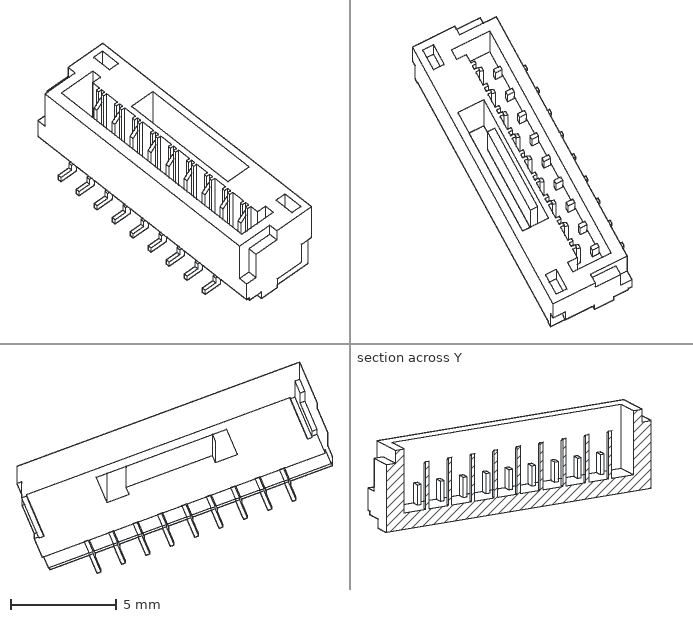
import cadquery as cq

LENGTH = 14.5
DEPTH = 4.25
HEIGHT = 4.2
STANDOFF = 0.17
HALF_LENGTH = LENGTH / 2

LIP_HEIGHT = 0.81
LIP_SETBACK = 0.19
TERMINAL_TOP = 0.64
TERMINAL_SETBACK = 0.97

FRONT_WALL = 0.61
CAVITY_LENGTH = 12.53
CAVITY_BACK = 2.15
CAVITY_FLOOR = 1.02
KEY_WIDTH = 0.54
KEY_BACK = 2.67

WINDOW_LENGTH = 6.68
WINDOW_FRONT = 2.45
WINDOW_BACK = 3.84
LATCH_LENGTH = 4.42
LATCH_DEPTH = 0.39
LATCH_TOP = 2.9

POCKET_LENGTH = 1.1
POCKET_WIDTH = 0.58
POCKET_DEPTH = 1.45
POCKET_MARGIN = 0.36

RELIEF_INSET = 0.5
RELIEF_LENGTH = 1.97
RELIEF_HEIGHT = 2.28
RELIEF_TOP_BAND = 0.64
RELIEF_FRONT_BAND = FRONT_WALL

TAB_INSET = 0.25
TAB_THICKNESS = 0.25
TAB_LENGTH = 2.23
TAB_HEIGHT = 2.03
TAB_BACK_BAND = 0.67
TAB_BOTTOM_BAND = 0.78

PIN_COUNT = 9
PIN_ROW = 10.0
PIN_PITCH = PIN_ROW / (PIN_COUNT - 1)
PIN_WIDTH = 0.2
PIN_X = [i * PIN_PITCH - PIN_ROW / 2 for i in range(PIN_COUNT)]

POST_WIDTH = 0.51
POST_DEPTH = 0.2

BLADE_FRONT = 1.65
BLADE_TIP_FRONT = 2.06
BLADE_TIP = 3.65
BLADE_SHOULDER = 3.28

TINE_FRONT = 0.65
TINE_CREST = 0.84
TINE_BACK = 1.02
TINE_TOP = 2.03
TINE_DROP = 0.01

ARM_BOTTOM = 0.26
LEG_BACK = 0.32
FOOT_HEIGHT = 0.3
FOOT_REACH = 0.7


def block(x_range, y_range, z_range):
    """Axis-aligned box between the given limits."""
    size = [high - low for low, high in (x_range, y_range, z_range)]
    return cq.Workplane("XY").box(*size, centered=False).translate((x_range[0], y_range[0], z_range[0]))


def centred(length, center=0.0):
    """Range of the given length about a centre."""
    return (center - length / 2, center + length / 2)


def side_profile(points, x_range):
    """Extrude a (Y, Z) outline along X."""
    width = x_range[1] - x_range[0]
    return cq.Workplane("YZ").polyline(points).close().extrude(width).translate((x_range[0], 0, 0))


def both_ends(shape):
    """The shape together with its mirror image on the other end."""
    return shape.union(shape.mirror("YZ"))


def housing():
    outline = [
        (0, HEIGHT), (0, LIP_HEIGHT),
        (LIP_SETBACK, LIP_HEIGHT), (LIP_SETBACK, TERMINAL_TOP),
        (TERMINAL_SETBACK, TERMINAL_TOP), (TERMINAL_SETBACK, STANDOFF),
        (DEPTH, STANDOFF), (DEPTH, HEIGHT),
    ]
    return side_profile(outline, centred(LENGTH))


def cavity():
    z_range = (CAVITY_FLOOR, HEIGHT)
    main = block(centred(CAVITY_LENGTH), (FRONT_WALL, CAVITY_BACK), z_range)
    key_start = -CAVITY_LENGTH / 2
    key = block((key_start, key_start + KEY_WIDTH), (FRONT_WALL, KEY_BACK), z_range)
    return main.union(both_ends(key))


def window():
    return block(centred(WINDOW_LENGTH), (WINDOW_FRONT, WINDOW_BACK), (0, HEIGHT))


def latch():
    y_range = (WINDOW_FRONT, WINDOW_FRONT + LATCH_DEPTH)
    return block(centred(LATCH_LENGTH), y_range, (STANDOFF, LATCH_TOP))


def pockets():
    start = -HALF_LENGTH + POCKET_MARGIN
    back = DEPTH - POCKET_MARGIN
    z_range = (HEIGHT - POCKET_DEPTH, HEIGHT)
    pocket = block((start, start + POCKET_LENGTH), (back - POCKET_WIDTH, back), z_range)
    return both_ends(pocket)


def end_reliefs():
    outline = [
        (0, HEIGHT), (RELIEF_LENGTH, HEIGHT),
        (RELIEF_LENGTH, HEIGHT - RELIEF_TOP_BAND), (RELIEF_FRONT_BAND, HEIGHT - RELIEF_TOP_BAND),
        (RELIEF_FRONT_BAND, HEIGHT - RELIEF_HEIGHT), (0, HEIGHT - RELIEF_HEIGHT),
    ]
    return both_ends(side_profile(outline, (-HALF_LENGTH, -HALF_LENGTH + RELIEF_INSET)))


def tab_shapes(x_start, thickness):
    """L-shaped plates at both ends, starting at x_start on the -X end."""
    outline = [
        (DEPTH, 0), (DEPTH, TAB_HEIGHT),
        (DEPTH - TAB_BACK_BAND, TAB_HEIGHT), (DEPTH - TAB_BACK_BAND, TAB_BOTTOM_BAND),
        (DEPTH - TAB_LENGTH, TAB_BOTTOM_BAND), (DEPTH - TAB_LENGTH, 0),
    ]
    return both_ends(side_profile(outline, (x_start, x_start + thickness)))


def guide_post(x):
    """Post on the back cavity wall, slotted for the contact blade."""
    y_range = (CAVITY_BACK - POST_DEPTH, CAVITY_BACK)
    z_range = (CAVITY_FLOOR, HEIGHT)
    post = block(centred(POST_WIDTH, x), y_range, z_range)
    return post.cut(block(centred(PIN_WIDTH, x), y_range, z_range))


def terminal(x):
    """Contact blade, front tine and solder tail of one terminal."""
    blade = [
        (BLADE_FRONT, CAVITY_FLOOR), (BLADE_FRONT, BLADE_SHOULDER),
        (BLADE_TIP_FRONT, BLADE_TIP), (CAVITY_BACK, BLADE_TIP), (CAVITY_BACK, CAVITY_FLOOR),
    ]
    tine = [
        (TINE_FRONT, CAVITY_FLOOR), (TINE_FRONT, TINE_TOP), (TINE_CREST, TINE_TOP),
        (TINE_BACK, TINE_TOP - TINE_DROP), (TINE_BACK, CAVITY_FLOOR),
    ]
    tail = [
        (TERMINAL_SETBACK, TERMINAL_TOP), (0, TERMINAL_TOP),
        (0, FOOT_HEIGHT), (-FOOT_REACH, FOOT_HEIGHT), (-FOOT_REACH, 0),
        (LEG_BACK, 0), (LEG_BACK, ARM_BOTTOM), (TERMINAL_SETBACK, ARM_BOTTOM),
    ]
    x_range = centred(PIN_WIDTH, x)
    shape = side_profile(blade, x_range)
    for outline in (tine, tail):
        shape = shape.union(side_profile(outline, x_range))
    return shape


result = housing().cut(cavity()).cut(window()).cut(pockets()).cut(end_reliefs())
result = result.union(latch())
result = result.cut(tab_shapes(-HALF_LENGTH, TAB_INSET))
result = result.union(tab_shapes(-HALF_LENGTH + TAB_INSET, TAB_THICKNESS))
for pin_x in PIN_X:
    result = result.union(guide_post(pin_x)).union(terminal(pin_x))